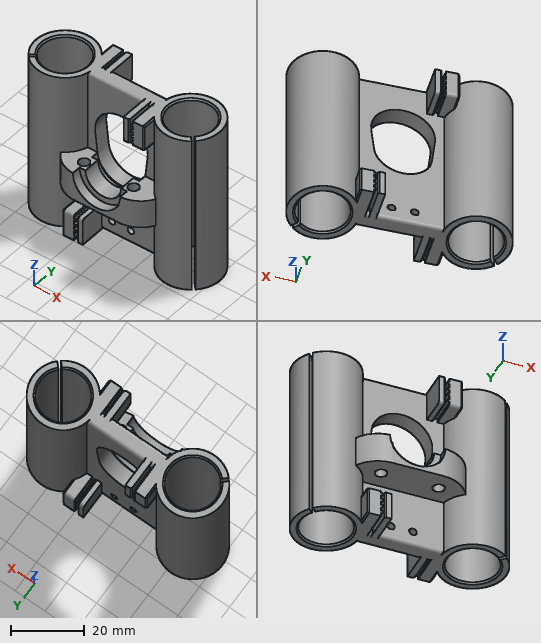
import cadquery as cq
import math

OVERALL_WIDTH = 63.03
HEIGHT = 53.0

TUBE_DIAMETER = 19.9
BORE_DIAMETER = 15.2
BORE_CHAMFER = 0.5
SLIT_WIDTH = 1.0
SLIT_ANGLES = {-1: 225.0, 1: -45.0}
TUBE_X = (OVERALL_WIDTH - TUBE_DIAMETER) / 2

PLATE_THICKNESS = 5.0
PLATE_EDGE_FILLET = 1.0

MOUNT_X = -0.35
MOUNT_TOP = 0.0
MOUNT_HEIGHT = 9.4
MOUNT_FRONT = -13.5
MOUNT_CORNER_RADIUS = 10.0
MOUNT_FLAT_WIDTH = 15.0
COLLAR_RADIUS = 8.1
NECK_RADIUS = 6.1
NECK_BACK = -5.0
NECK_FRONT = -10.5
SCREW_DIAMETER = 3.4
SCREW_SPACING = 17.0
SCREW_Y = -8.0

WINDOW_TOP_RADIUS = 9.0
WINDOW_TOP_Z = 8.0
WINDOW_BOTTOM_RADIUS = 8.2
WINDOW_BOTTOM_Z = 0.6
SMALL_HOLE_DIAMETER = 2.2
SMALL_HOLE_SPACING = 6.5
SMALL_HOLE_Z = -22.0

CLAMP_HEIGHT = 9.0
CLAMP_REACH = 11.0
THIN_JAW_INNER_X = 7.0
THIN_JAW_OUTER_X = 9.0
THICK_JAW_INNER_X = 10.1
THICK_JAW_OUTER_X = 14.0
JAW_END_FILLET = 1.0
JAW_SIDE_CHAMFER = 0.45
BELT_PITCH = 2.0
TOOTH_RADIUS = BELT_PITCH / 4
TOOTH_COUNT = 4
FIRST_TOOTH_DEPTH = 1.5


def box(x_range, y_range, z_range):
    """Box spanning three (low, high) ranges."""
    spans = [high - low for low, high in (x_range, y_range, z_range)]
    corner = (x_range[0], y_range[0], z_range[0])
    return cq.Workplane("XY").box(*spans, centered=False).translate(corner)


def cylinder_z(x, y, radius, z_low, z_high):
    """Upright cylinder."""
    return cq.Workplane("XY", origin=(x, y, z_low)).circle(radius).extrude(z_high - z_low)


def cylinder_y(x, z, radius, y_low, y_high):
    """Cylinder lying along Y."""
    return cq.Workplane("XZ", origin=(x, y_high, z)).circle(radius).extrude(y_high - y_low)


def make_plate():
    """Web with its long top and bottom edges rounded."""
    half = PLATE_THICKNESS / 2
    plate = box((-TUBE_X, TUBE_X), (-half, half), (-HEIGHT / 2, HEIGHT / 2))
    return plate.edges("|X").fillet(PLATE_EDGE_FILLET)


def make_tool_mount():
    """Block on the front of the plate with a wide straight front and round corners."""
    corner_y = MOUNT_FRONT + MOUNT_CORNER_RADIUS
    half_flat = MOUNT_FLAT_WIDTH / 2
    half_width = half_flat + MOUNT_CORNER_RADIUS
    diagonal = MOUNT_CORNER_RADIUS * math.sqrt(0.5)
    return (
        cq.Workplane("XY", origin=(MOUNT_X, 0, MOUNT_TOP - MOUNT_HEIGHT))
        .moveTo(-half_width, 0)
        .lineTo(-half_width, corner_y)
        .threePointArc((-half_flat - diagonal, corner_y - diagonal), (-half_flat, MOUNT_FRONT))
        .lineTo(half_flat, MOUNT_FRONT)
        .threePointArc((half_flat + diagonal, corner_y - diagonal), (half_width, corner_y))
        .lineTo(half_width, 0)
        .close()
        .extrude(MOUNT_HEIGHT)
    )


def make_jaw(inner_x, outer_x, fixed_sides):
    """Jaw rounded at its lower front edge; its +X face is chamfered except along the fixed sides."""
    jaw = box((inner_x, outer_x), (-CLAMP_REACH, 0), (HEIGHT / 2 - CLAMP_HEIGHT, HEIGHT / 2))
    jaw = jaw.faces("<Z").edges("<Y").fillet(JAW_END_FILLET)
    return jaw.faces(">X").edges(f"not ({fixed_sides})").chamfer(JAW_SIDE_CHAMFER)


def make_clamp():
    """Belt clamp at the top front, on the +X side, with half-round teeth on the thick jaw."""
    thin_jaw = make_jaw(THIN_JAW_INNER_X, THIN_JAW_OUTER_X, ">Y or >Z")
    thick_jaw = make_jaw(THICK_JAW_INNER_X, THICK_JAW_OUTER_X, ">Y")
    clamp = thin_jaw.union(thick_jaw)
    for index in range(TOOTH_COUNT):
        tooth_z = HEIGHT / 2 - FIRST_TOOTH_DEPTH - index * BELT_PITCH
        tooth = cylinder_y(THICK_JAW_INNER_X, tooth_z, TOOTH_RADIUS, -CLAMP_REACH, 0)
        clamp = clamp.union(tooth)
    return clamp


def add_clamps(body):
    """Four clamps: the first one and its half turns about X, Y and Z."""
    clamp = make_clamp()
    body = body.union(clamp)
    for axis in ((1, 0, 0), (0, 1, 0), (0, 0, 1)):
        body = body.union(clamp.rotate((0, 0, 0), axis, 180))
    return body


def cut_bore(body, side):
    """Bearing bore with chamfered mouths, and the slit that splits the tube wall."""
    x = side * TUBE_X
    radius = BORE_DIAMETER / 2
    mouth_radius = radius + BORE_CHAMFER
    end_z = HEIGHT / 2
    bore = (
        cq.Workplane("XZ")
        .moveTo(0, -end_z)
        .lineTo(mouth_radius, -end_z)
        .lineTo(radius, -end_z + BORE_CHAMFER)
        .lineTo(radius, end_z - BORE_CHAMFER)
        .lineTo(mouth_radius, end_z)
        .lineTo(0, end_z)
        .close()
        .revolve(360, (0, 0, 0), (0, 1, 0))
    )
    body = body.cut(bore.translate((x, 0, 0)))
    slit = box((radius / 2, TUBE_DIAMETER), (-SLIT_WIDTH, 0), (-end_z, end_z))
    slit = slit.rotate((0, 0, 0), (0, 0, 1), SLIT_ANGLES[side])
    return body.cut(slit.translate((x, 0, 0)))


def cut_tool_seat(body):
    """Half-round seat: a narrow neck between two wide collars."""
    plate_front = -PLATE_THICKNESS / 2
    body = body.cut(cylinder_y(MOUNT_X, MOUNT_TOP, NECK_RADIUS, MOUNT_FRONT, plate_front))
    for y_low, y_high in ((MOUNT_FRONT, NECK_FRONT), (NECK_BACK, plate_front)):
        body = body.cut(cylinder_y(MOUNT_X, MOUNT_TOP, COLLAR_RADIUS, y_low, y_high))
    return body


def cut_window(body):
    """Egg-shaped window: two arcs joined by their common tangents."""
    tilt = (WINDOW_TOP_RADIUS - WINDOW_BOTTOM_RADIUS) / (WINDOW_TOP_Z - WINDOW_BOTTOM_Z)
    slope = math.sqrt(1 - tilt**2)
    upper = (WINDOW_TOP_RADIUS * slope, WINDOW_TOP_Z - WINDOW_TOP_RADIUS * tilt)
    lower = (WINDOW_BOTTOM_RADIUS * slope, WINDOW_BOTTOM_Z - WINDOW_BOTTOM_RADIUS * tilt)
    window = (
        cq.Workplane("XZ", origin=(MOUNT_X, PLATE_THICKNESS / 2, 0))
        .moveTo(*upper)
        .threePointArc((0, WINDOW_TOP_Z + WINDOW_TOP_RADIUS), (-upper[0], upper[1]))
        .lineTo(-lower[0], lower[1])
        .threePointArc((0, WINDOW_BOTTOM_Z - WINDOW_BOTTOM_RADIUS), lower)
        .close()
        .extrude(PLATE_THICKNESS)
    )
    return body.cut(window)


def cut_small_holes(body):
    """Pair of holes through the plate near its bottom edge."""
    half = PLATE_THICKNESS / 2
    for side in (-1, 1):
        x = MOUNT_X + side * SMALL_HOLE_SPACING / 2
        body = body.cut(cylinder_y(x, SMALL_HOLE_Z, SMALL_HOLE_DIAMETER / 2, -half, half))
    return body


def cut_screw_holes(mount):
    """Upright screw holes on both sides of the tool seat."""
    for side in (-1, 1):
        x = MOUNT_X + side * SCREW_SPACING / 2
        hole = cylinder_z(x, SCREW_Y, SCREW_DIAMETER / 2, MOUNT_TOP - MOUNT_HEIGHT, MOUNT_TOP)
        mount = mount.cut(hole)
    return mount


body = make_plate().union(cut_screw_holes(make_tool_mount()))
for tube_side in (-1, 1):
    tube = cylinder_z(tube_side * TUBE_X, 0, TUBE_DIAMETER / 2, -HEIGHT / 2, HEIGHT / 2)
    body = body.union(tube)
body = add_clamps(body)
body = cut_tool_seat(body)
body = cut_window(body)
body = cut_small_holes(body)
for tube_side in (-1, 1):
    body = cut_bore(body, tube_side)

result = body